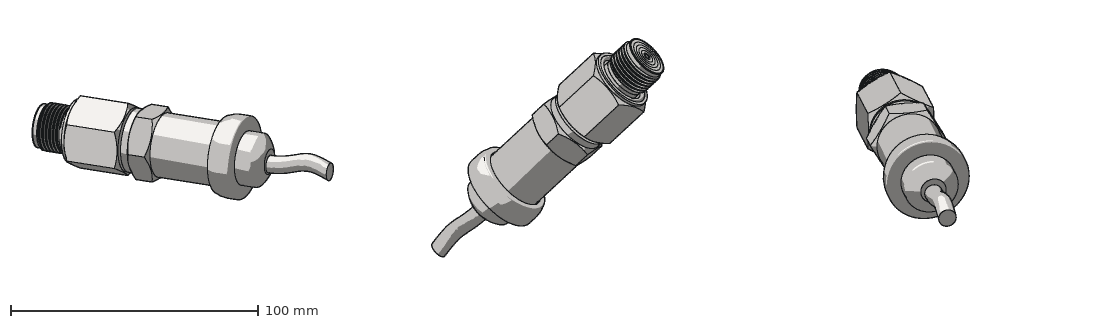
import cadquery as cq
import math

face_x = 0.0
diaphragm_back_x = 0.4
core_end_x = 13.8
lip_x = 14.8
fitting_hex_start_x = 16.0
fitting_hex_end_x = 39.9
collar_start_x = 41.0
body_hex_start_x = 44.0
body_hex_end_x = 54.0
cap_start_x = 80.5
cap_curve_start_x = 81.2
cap_recess_floor_x = 81.7
cap_curve_end_x = 85.5
cap_end_x = 90.4
gland_round_start_x = 96.7
dome_start_x = 97.5
dome_end_x = 101.0
cable_end_x = 127.7

core_diameter = 18.1
seal_neck_diameter = 18.0
seal_recess_diameter = 23.9
seal_recess_floor_x = 16.3
thread_diameter = 19.8
thread_pitch = 1.5
thread_start_x = 2.0
thread_end_x = 12.3
thread_helix_start_x = 1.0
thread_turns = 8
thread_run_out = 0.83
thread_clip_margin = 0.1
thread_root_width = 1.3
thread_crest_width = 0.4
thread_root_sink = 0.3

corrugation_first_radius = 2.3
corrugation_spacing = 2.8
corrugation_count = 3
corrugation_width = 1.4
corrugation_depth = 0.19
dimple_diameter = 2.0
dimple_depth = 0.1

seal_section_radius = 0.96

hex_across_flats = 27.2
hex_across_corners = hex_across_flats / math.cos(math.pi / 6)
hex_chamfer_angle = 30.0
turned_diameter = 26.5
neck_small_diameter = 11.5
neck_large_diameter = 12.4

cap_diameter = 34.5
cap_front_diameter = 32.5
cap_recess_diameter = 27.2
cap_back_round = 0.6
gland_diameter = 22.4
dome_sphere_radius = 15.5
dome_tip_diameter = 10.5
cable_diameter = 7.3
cable_start_z = -0.96
cable_start_direction = (1, 0)
cable_bend_points = [(110.5, 0.5), (118.4, 2.36)]
cable_end_z = -0.3
cable_end_direction = (1, -0.4)


def turned(outline):
    """Solid of revolution about the X axis from a closed (x, radius) outline."""
    return outline.close().revolve(360, (0, 0, 0), (1, 0, 0))


def cylinder(start_x, end_x, diameter):
    """Cylinder on the X axis."""
    return cq.Workplane("YZ", origin=(start_x, 0, 0)).circle(diameter / 2).extrude(end_x - start_x)


def chamfered_hexagon(start_x, end_x, turn):
    """Hexagonal prism on the X axis with its corners turned down at both ends."""
    face_radius = turned_diameter / 2
    corner_radius = hex_across_corners / 2
    chamfer = (corner_radius - face_radius) * math.tan(math.radians(hex_chamfer_angle))
    prism = (
        cq.Workplane("YZ", origin=(start_x, 0, 0))
        .polygon(6, hex_across_corners)
        .extrude(end_x - start_x)
        .rotate((0, 0, 0), (1, 0, 0), turn)
    )
    envelope = turned(
        cq.Workplane("XY")
        .moveTo(start_x, 0)
        .lineTo(start_x, face_radius)
        .lineTo(start_x + chamfer, corner_radius)
        .lineTo(end_x - chamfer, corner_radius)
        .lineTo(end_x, face_radius)
        .lineTo(end_x, 0)
    )
    return prism.intersect(envelope)


def make_thread_ridge():
    """Helical ridge sunk into the threaded core, tapering off in a cone at both ends."""
    root_radius = core_diameter / 2 - thread_root_sink
    crest_radius = thread_diameter / 2
    path = cq.Wire.makeHelix(thread_pitch, thread_pitch * thread_turns, root_radius)
    ridge = (
        cq.Workplane("XZ")
        .moveTo(root_radius, -thread_root_width / 2)
        .lineTo(crest_radius, -thread_crest_width / 2)
        .lineTo(crest_radius, thread_crest_width / 2)
        .lineTo(root_radius, thread_root_width / 2)
        .close()
        .sweep(cq.Workplane(path), isFrenet=True)
    )
    ridge = ridge.rotate((0, 0, 0), (0, 1, 0), 90).translate((thread_helix_start_x, 0, 0))
    core_radius = core_diameter / 2
    rim_radius = crest_radius + thread_clip_margin
    inner_radius = root_radius - thread_clip_margin
    envelope = turned(
        cq.Workplane("XY")
        .moveTo(thread_start_x, inner_radius)
        .lineTo(thread_start_x, core_radius)
        .lineTo(thread_start_x + thread_run_out, rim_radius)
        .lineTo(thread_end_x - thread_run_out, rim_radius)
        .lineTo(thread_end_x, core_radius)
        .lineTo(thread_end_x, inner_radius)
    )
    return ridge.intersect(envelope)


def make_fitting():
    """Threaded fitting with its wrench hexagon and the open recess for the sealing ring."""
    core = cylinder(diaphragm_back_x, core_end_x, core_diameter)
    seal_neck = cylinder(core_end_x, seal_recess_floor_x, seal_neck_diameter)
    lip = cylinder(lip_x, fitting_hex_start_x, turned_diameter)
    hexagon = chamfered_hexagon(fitting_hex_start_x, fitting_hex_end_x, 90)
    recess = cylinder(lip_x, seal_recess_floor_x, seal_recess_diameter)
    return lip.union(hexagon).cut(recess).union(seal_neck).union(core).union(make_thread_ridge())


def make_diaphragm():
    """Thin disc closing the threaded end, with concentric arc corrugations and a centre dimple."""
    disc = cylinder(face_x, diaphragm_back_x, core_diameter)
    for index in range(corrugation_count):
        radius = corrugation_first_radius + index * corrugation_spacing
        groove = turned(
            cq.Workplane("XY")
            .moveTo(face_x, radius - corrugation_width / 2)
            .threePointArc((face_x + corrugation_depth, radius), (face_x, radius + corrugation_width / 2))
        )
        disc = disc.cut(groove)
    return disc.cut(cylinder(face_x, face_x + dimple_depth, dimple_diameter))


def make_sealing_ring():
    """O-ring resting on the floor and the outer wall of the fitting recess."""
    centre_x = seal_recess_floor_x - seal_section_radius
    centre_radius = seal_recess_diameter / 2 - seal_section_radius
    section = cq.Workplane("XY").center(centre_x, centre_radius).circle(seal_section_radius)
    return section.revolve(360, (0, -centre_radius, 0), (1, -centre_radius, 0))


def make_body():
    """Main body: conical neck, collar, second hexagon and the long tube."""
    neck = turned(
        cq.Workplane("XY")
        .moveTo(fitting_hex_end_x, 0)
        .lineTo(fitting_hex_end_x, neck_small_diameter / 2)
        .lineTo(collar_start_x, neck_large_diameter / 2)
        .lineTo(collar_start_x, 0)
    )
    tube = cylinder(collar_start_x, cap_recess_floor_x, turned_diameter)
    hexagon = chamfered_hexagon(body_hex_start_x, body_hex_end_x, 0)
    return tube.union(hexagon).union(neck)


def make_cap():
    """Wide cap with a swelling rim and a shallow recess that clears the tube end."""
    front_radius = cap_front_diameter / 2
    full_radius = cap_diameter / 2
    swell_length = cap_curve_end_x - cap_curve_start_x
    swell_rise = full_radius - front_radius
    swell_arc_radius = (swell_length**2 + swell_rise**2) / (2 * swell_rise)
    swell_middle_x = (cap_curve_start_x + cap_curve_end_x) / 2
    swell_middle_drop = swell_arc_radius - math.sqrt(swell_arc_radius**2 - (swell_length / 2) ** 2)
    swell_middle_radius = full_radius - swell_middle_drop
    round_size = cap_curve_start_x - cap_start_x
    blank = turned(
        cq.Workplane("XY")
        .moveTo(cap_start_x, 0)
        .lineTo(cap_start_x, front_radius - round_size)
        .tangentArcPoint((cap_curve_start_x, front_radius), relative=False)
        .threePointArc((swell_middle_x, swell_middle_radius), (cap_curve_end_x, full_radius))
        .lineTo(cap_end_x - cap_back_round, full_radius)
        .tangentArcPoint((cap_end_x, full_radius - cap_back_round), relative=False)
        .lineTo(cap_end_x, 0)
    )
    return blank.cut(cylinder(cap_start_x, cap_recess_floor_x, cap_recess_diameter))


def make_gland():
    """Cable gland: a cylinder with a rounded shoulder and a spherical dome with a flat tip."""
    radius = gland_diameter / 2
    tip_radius = dome_tip_diameter / 2
    sphere_centre_x = dome_end_x - math.sqrt(dome_sphere_radius**2 - tip_radius**2)
    dome_start_radius = math.sqrt(dome_sphere_radius**2 - (dome_start_x - sphere_centre_x) ** 2)
    dome_middle_x = (dome_start_x + dome_end_x) / 2
    dome_middle_radius = math.sqrt(dome_sphere_radius**2 - (dome_middle_x - sphere_centre_x) ** 2)
    return turned(
        cq.Workplane("XY")
        .moveTo(cap_end_x, 0)
        .lineTo(cap_end_x, radius)
        .lineTo(gland_round_start_x, radius)
        .tangentArcPoint((dome_start_x, dome_start_radius), relative=False)
        .threePointArc((dome_middle_x, dome_middle_radius), (dome_end_x, tip_radius))
        .lineTo(dome_end_x, 0)
    )


def make_cable():
    """Wavy cable whose round section stays square to the X axis along its whole length."""
    start = (dome_end_x, cable_start_z)
    end = (cable_end_x, cable_end_z)
    points = [start, *cable_bend_points, end]
    path = cq.Workplane("XZ").spline(points, tangents=[cable_start_direction, cable_end_direction])
    section = cq.Workplane("YZ", origin=(dome_end_x, 0, cable_start_z)).circle(cable_diameter / 2)
    return section.sweep(path, normal=(1, 0, 0))


fitting = make_fitting()
diaphragm = make_diaphragm()
sealing_ring = make_sealing_ring()
body = make_body()
cap = make_cap()
gland = make_gland()
cable = make_cable()

result = cq.Compound.makeCompound(
    [fitting.val(), diaphragm.val(), sealing_ring.val(), body.val(), cap.val(), gland.val(), cable.val()]
)